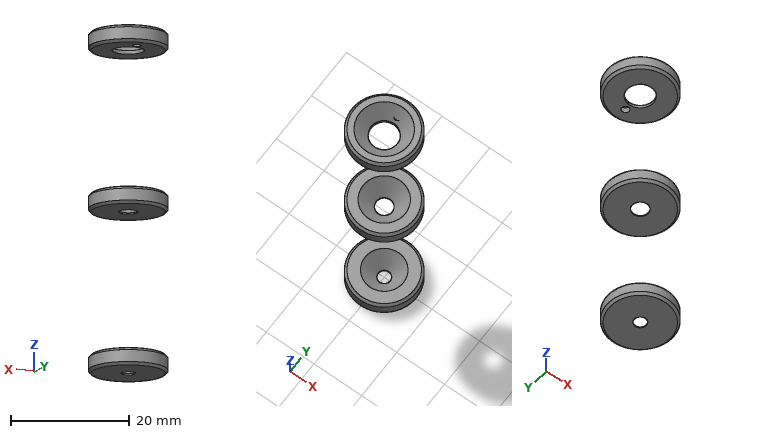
import cadquery as cq

stack_height = 59.0
washer_count = 3
outer_diameter = 13.5
thickness = 3.0
edge_chamfer = 0.5
washer_spacing = (stack_height - thickness) / (washer_count - 1)

bore_diameters = [2.5, 3.3, 5.4]
mouth_diameters = [8.0, 8.85, 10.2]

blind_hole_diameter = 1.5
blind_hole_depth = 1.2
blind_hole_offset = 3.95


def countersunk_washer(bore_diameter, mouth_diameter, base_height):
    """Chamfered disc with a 45 degree countersink narrowing to a straight bore."""
    outer_radius = outer_diameter / 2
    bore_radius = bore_diameter / 2
    mouth_radius = mouth_diameter / 2
    countersink_depth = mouth_radius - bore_radius
    profile = (
        cq.Workplane("XZ")
        .moveTo(bore_radius, 0)
        .lineTo(outer_radius - edge_chamfer, 0)
        .lineTo(outer_radius, edge_chamfer)
        .lineTo(outer_radius, thickness - edge_chamfer)
        .lineTo(outer_radius - edge_chamfer, thickness)
        .lineTo(mouth_radius, thickness)
        .lineTo(bore_radius, thickness - countersink_depth)
        .close()
    )
    washer = profile.revolve(360, (0, 0, 0), (0, 1, 0))
    return washer.translate((0, 0, base_height))


def cut_blind_hole(washer, base_height):
    """Cut the flat-ended blind hole upward from the underside, on the +Y side of the bore."""
    blind_hole = (
        cq.Workplane("XY", origin=(0, blind_hole_offset, base_height))
        .circle(blind_hole_diameter / 2)
        .extrude(blind_hole_depth)
    )
    return washer.cut(blind_hole)


washers = []
for index in range(washer_count):
    base_height = index * washer_spacing
    washer = countersunk_washer(bore_diameters[index], mouth_diameters[index], base_height)
    if index == washer_count - 1:
        washer = cut_blind_hole(washer, base_height)
    washers.append(washer.val())

result = cq.Compound.makeCompound(washers)